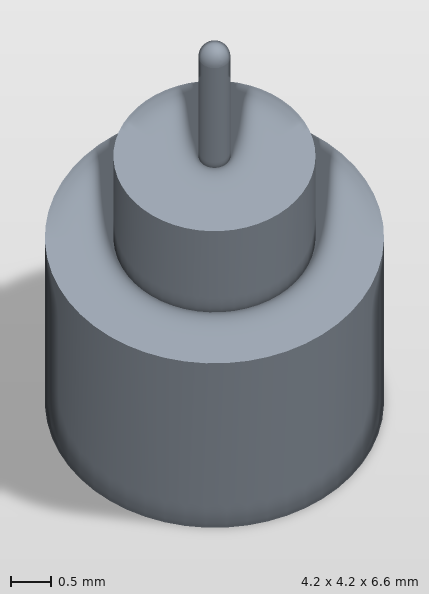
import cadquery as cq

total_height = 6.6
body_diameter = 4.2
body_height = 3.05
neck_diameter = 2.5
neck_height = 1.505
pin_diameter = 0.395

neck_top = body_height + neck_height
pin_radius = pin_diameter / 2
pin_length = total_height - neck_top - pin_radius


def cylinder(diameter, height, base_z):
    """Upright cylinder centred on the Z axis, standing at base_z."""
    return cq.Workplane("XY").workplane(offset=base_z).circle(diameter / 2).extrude(height)


body = cylinder(body_diameter, body_height, 0)
neck = cylinder(neck_diameter, neck_height, body_height)

pin = cylinder(pin_diameter, pin_length, neck_top)
tip = cq.Workplane("XY").sphere(pin_radius).translate((0, 0, neck_top + pin_length))

result = body.union(neck).union(pin).union(tip)